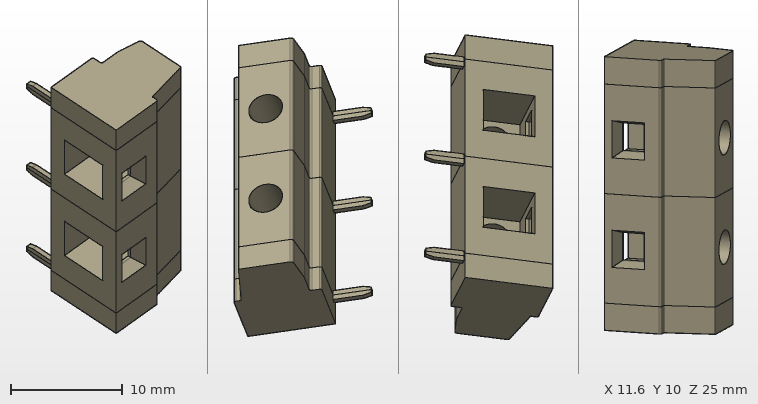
import cadquery as cq
import math

pole_count = 2
pole_pitch = 10.0
end_thickness = 2.5

housing_width = 8.1
housing_depth = 10.0
shoulder_depth = 5.4
left_ledge = 1.1
left_wall_depth = 7.45
left_draft = math.radians(10)
right_ledge = 0.69
right_draft = math.radians(10.5)
left_shoulder_radius = 0.2
left_step_radius = 0.2
left_crest_radius = 0.3
right_shoulder_radius = 0.2
right_step_radius = 0.1
right_crest_radius = 0.1

pin_length = 3.5
pin_tip_length = 0.75
pin_half_width = 0.5
pin_tip_half_width = 0.3
pin_thickness = 0.5
pin_offset = 0.5

pocket_width = 4.75
pocket_height = 4.2
pocket_depth = shoulder_depth
wire_hole_diameter = 3.1
wire_center_x = housing_width / 2

window_start = 1.25
window_length = 2.05
window_height = 2.55
window_land = 0.3
window_mouth_length = 3.1
window_mouth_height = 3.4


def housing_slab(base_z, thickness):
    """Slab of the constant housing cross-section, with its outline corners rounded."""
    left_crest_x = left_ledge + (housing_depth - left_wall_depth) * math.tan(left_draft)
    right_step_x = housing_width - right_ledge
    right_crest_x = right_step_x - (housing_depth - shoulder_depth) * math.tan(right_draft)
    outline = [
        (0, 0),
        (housing_width, 0),
        (housing_width, shoulder_depth),
        (right_step_x, shoulder_depth),
        (right_crest_x, housing_depth),
        (left_crest_x, housing_depth),
        (left_ledge, left_wall_depth),
        (left_ledge, shoulder_depth),
        (0, shoulder_depth),
    ]
    rounded_corners = [
        (housing_width, shoulder_depth, right_shoulder_radius),
        (right_step_x, shoulder_depth, right_step_radius),
        (right_crest_x, housing_depth, right_crest_radius),
        (left_crest_x, housing_depth, left_crest_radius),
        (left_ledge, shoulder_depth, left_step_radius),
        (0, shoulder_depth, left_shoulder_radius),
    ]
    slab = cq.Workplane("XY").workplane(offset=base_z).polyline(outline).close().extrude(thickness)
    for x, y, radius in rounded_corners:
        corner = cq.selectors.NearestToPointSelector((x, y, base_z + thickness / 2))
        slab = slab.edges("|Z").edges(corner).fillet(radius)
    return slab


def half_pin(joint_z, side):
    """Half of a tapered pin, on the +Z (side = 1) or -Z (side = -1) side of a joint."""
    return (
        cq.Workplane("XZ", origin=(0, pin_offset, 0))
        .polyline([
            (0, joint_z),
            (0, joint_z + side * pin_half_width),
            (pin_tip_length - pin_length, joint_z + side * pin_half_width),
            (-pin_length, joint_z + side * pin_tip_half_width),
            (-pin_length, joint_z),
        ])
        .close()
        .extrude(-pin_thickness)
    )


def side_window(center_z):
    """Rectangular opening with a short straight land, then a flare out to the +X face."""
    land_start_x = wire_center_x + pocket_width / 2
    flare_length = housing_width - land_start_x - window_land
    plane = cq.Plane(
        origin=(land_start_x, window_start + window_length / 2, center_z),
        xDir=(0, 1, 0),
        normal=(1, 0, 0),
    )
    land = cq.Workplane(plane).rect(window_length, window_height).extrude(window_land)
    flare = (
        cq.Workplane(plane)
        .workplane(offset=window_land)
        .rect(window_length, window_height)
        .workplane(offset=flare_length)
        .rect(window_mouth_length, window_mouth_height)
        .loft(ruled=True)
    )
    return land.union(flare)


def wire_entry(center_z):
    """Rectangular pocket in the -Y face with a round hole through its floor."""
    pocket = cq.Workplane("XY").box(
        pocket_width, pocket_depth, pocket_height, centered=(True, False, True)
    )
    hole = (
        cq.Workplane("XZ")
        .circle(wire_hole_diameter / 2)
        .extrude(-housing_depth)
    )
    return pocket.union(hole).translate((wire_center_x, 0, center_z))


def pole_module(base_z):
    """Pole housing with its wire entry, side window and a half pin at each joint face."""
    center_z = base_z + pole_pitch / 2
    module = housing_slab(base_z, pole_pitch).cut(wire_entry(center_z)).cut(side_window(center_z))
    return module.union(half_pin(base_z, 1)).union(half_pin(base_z + pole_pitch, -1))


def end_plate(base_z, joint_z, pin_side):
    """Closing plate with a half pin at its only joint face."""
    return housing_slab(base_z, end_thickness).union(half_pin(joint_z, pin_side))


top_joint_z = end_thickness + pole_count * pole_pitch
bottom_end_plate = end_plate(0, end_thickness, -1)
top_end_plate = end_plate(top_joint_z, top_joint_z, 1)
pole_modules = [pole_module(end_thickness + i * pole_pitch) for i in range(pole_count)]

result = cq.Compound.makeCompound(
    [bottom_end_plate.val(), *[module.val() for module in pole_modules], top_end_plate.val()]
)